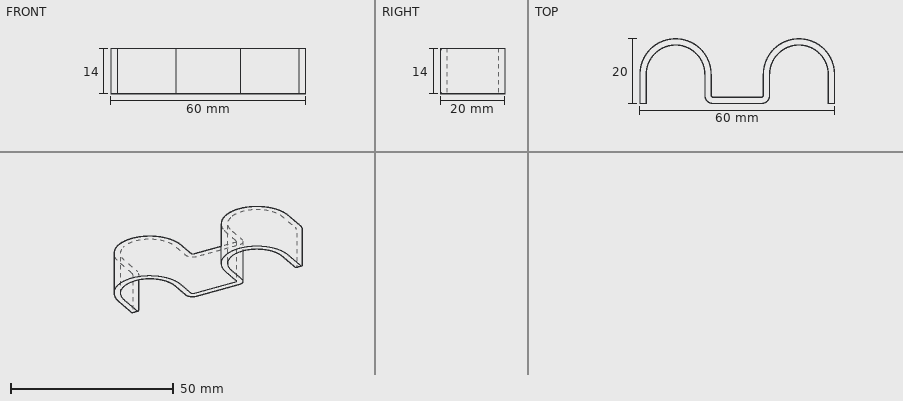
import cadquery as cq

thickness = 2.0
width = 14.0
inner_radius = 9.0
hook_spacing = 38.0
leg_length = 9.0
inside_bend_radius = 0.5
tip_radius = 1.0

hook_x = hook_spacing / 2
outer_radius = inner_radius + thickness
outside_bend_radius = inside_bend_radius + thickness
tip_outer_x = hook_x + outer_radius
tip_inner_x = hook_x + inner_radius
leg_outer_x = hook_x - outer_radius
leg_inner_x = hook_x - inner_radius
tip_y = -leg_length
web_inner_y = tip_y + thickness


def half_strip():
    """Half of the strip on the +X side, with sharp corners at the web bend."""
    return (
        cq.Workplane("XY")
        .workplane(offset=-width / 2)
        .moveTo(0, tip_y)
        .lineTo(leg_inner_x, tip_y)
        .lineTo(leg_inner_x, 0)
        .threePointArc((hook_x, inner_radius), (tip_inner_x, 0))
        .lineTo(tip_inner_x, tip_y)
        .lineTo(tip_outer_x, tip_y)
        .lineTo(tip_outer_x, 0)
        .threePointArc((hook_x, outer_radius), (leg_outer_x, 0))
        .lineTo(leg_outer_x, web_inner_y)
        .lineTo(0, web_inner_y)
        .close()
        .extrude(width)
    )


def round_edge_at(body, x, y, radius):
    """Round the single edge parallel to Z that passes through (x, y)."""
    return body.edges(cq.selectors.NearestToPointSelector((x, y, 0))).fillet(radius)


def bend_web(body):
    """Round both sides of the bend between the inner leg and the web."""
    body = round_edge_at(body, leg_inner_x, tip_y, outside_bend_radius)
    return round_edge_at(body, leg_outer_x, web_inner_y, inside_bend_radius)


def round_tip_corners(body):
    """Round the top and bottom corners of the free leg tip."""
    tip_x = (tip_inner_x + tip_outer_x) / 2
    for z in (-width / 2, width / 2):
        corner = cq.selectors.NearestToPointSelector((tip_x, tip_y, z))
        body = body.edges(corner).fillet(tip_radius)
    return body


half = round_tip_corners(bend_web(half_strip()))
result = half.union(half.mirror("YZ")).clean()